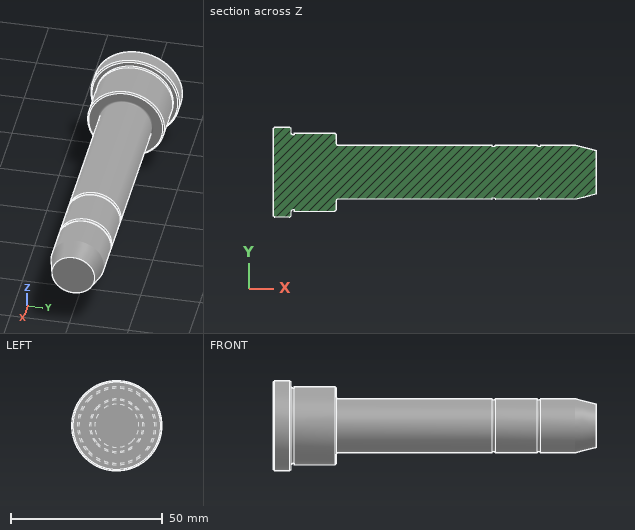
import cadquery as cq

length = 107.0
head_diameter = 30.0
collar_diameter = 26.0
shaft_diameter = 18.0
tip_diameter = 14.4

head_thickness = 6.0
collar_end = 21.0
tip_taper_length = 7.0
edge_chamfer = 0.5

relief_width = 1.0
relief_depth = 0.5
relief_bulge = 0.7

root_fillet = 0.5

groove_positions = (73.0, 88.0)
groove_width = 1.2
groove_depth = 0.4


def cylinder(start, end, diameter):
    """Solid cylinder along X between two axial positions."""
    return cq.Workplane("YZ", origin=(start, 0, 0)).circle(diameter / 2).extrude(end - start)


def revolve_about_x(profile):
    """Turn a closed XY profile through a full circle about the X axis."""
    return profile.close().revolve(360, (0, 0, 0), (1, 0, 0))


def make_head():
    return cylinder(0, head_thickness, head_diameter).edges().chamfer(edge_chamfer)


def make_collar():
    """Collar with a chamfered free end and a rounded relief beside the head."""
    radius = collar_diameter / 2
    relief_end = head_thickness + relief_width
    relief_radius = radius - relief_depth
    profile = (
        cq.Workplane("XY")
        .moveTo(0, 0)
        .lineTo(0, radius)
        .lineTo(head_thickness, radius)
        .threePointArc(
            (head_thickness + relief_width * (1 - relief_bulge), radius - relief_depth * relief_bulge),
            (relief_end, relief_radius),
        )
        .lineTo(relief_end, radius)
        .lineTo(collar_end - edge_chamfer, radius)
        .lineTo(collar_end, radius - edge_chamfer)
        .lineTo(collar_end, 0)
    )
    return revolve_about_x(profile)


def make_shaft():
    """Shaft with a root fillet and a tapered tip."""
    radius = shaft_diameter / 2
    profile = (
        cq.Workplane("XY")
        .moveTo(0, 0)
        .lineTo(0, radius + root_fillet)
        .lineTo(collar_end, radius + root_fillet)
        .radiusArc((collar_end + root_fillet, radius), -root_fillet)
        .lineTo(length - tip_taper_length, radius)
        .lineTo(length, tip_diameter / 2)
        .lineTo(length, 0)
    )
    return revolve_about_x(profile)


def make_groove(position):
    """Ring that cuts a shallow round-bottomed groove into the shaft."""
    radius = shaft_diameter / 2
    start = position - groove_width / 2
    end = position + groove_width / 2
    profile = (
        cq.Workplane("XY")
        .moveTo(start, radius)
        .threePointArc((position, radius - groove_depth), (end, radius))
        .lineTo(end, radius + groove_depth)
        .lineTo(start, radius + groove_depth)
    )
    return revolve_about_x(profile)


pin = make_head().union(make_collar()).union(make_shaft())
for groove_position in groove_positions:
    pin = pin.cut(make_groove(groove_position))

result = pin.translate((-length / 2, 0, 0))